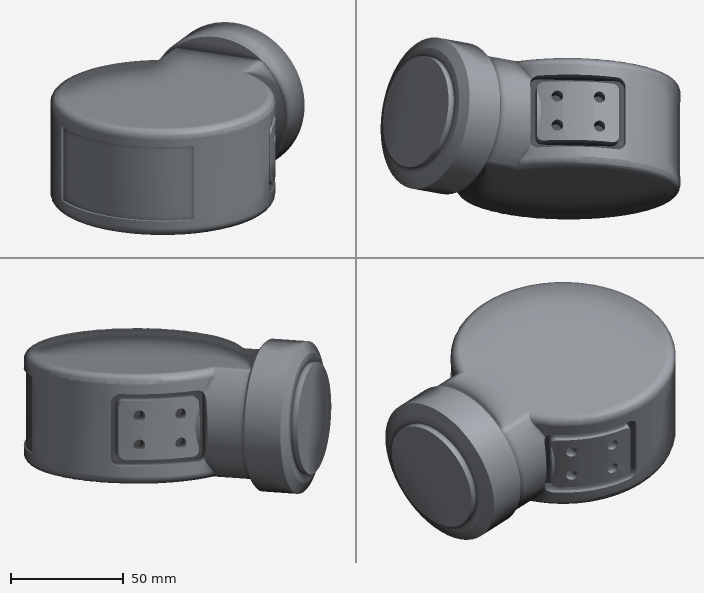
import cadquery as cq
import math

overall_length = 133.0

body_radius = 50.0
body_height = body_radius
edge_round = 4.0

neck_radius = 32.6

collar_radius = 34.0
collar_start = 60.0
collar_end = 80.0
collar_rear_chamfer = 1.2
collar_front_chamfer_length = 2.1
collar_front_chamfer_depth = 5.0
boss_radius = body_height / 2
boss_end = overall_length - body_radius

window_height = 34.8
window_depth = 1.0
window_half_angle = 40

pad_angle = 30
pad_length = 36.7
pad_height = 26.9
pad_corner_radius = 2.9
moat_width = 3.0
moat_corner_radius = 4.0
moat_depth = 10.0
hole_diameter = 5.0
hole_depth = 9.5
hole_spacing_along = 18.9
hole_spacing_up = 13.3


def make_body():
    drum = cq.Workplane("XY").circle(body_radius).extrude(body_height / 2, both=True)
    return drum.edges().fillet(edge_round)


def make_neck():
    cylinder = cq.Workplane("XZ").circle(neck_radius).extrude(-collar_start)
    slab = cq.Workplane("XY").box(2 * body_radius, 2 * collar_start, body_height)
    return cylinder.intersect(slab).faces("|Z").edges("|Y").fillet(edge_round)


def make_collar():
    """Collar and boss, revolved about the Y axis from a half section."""
    return (
        cq.Workplane("XY")
        .moveTo(0, collar_start)
        .lineTo(collar_radius - collar_rear_chamfer, collar_start)
        .lineTo(collar_radius, collar_start + collar_rear_chamfer)
        .lineTo(collar_radius, collar_end - collar_front_chamfer_length)
        .lineTo(collar_radius - collar_front_chamfer_depth, collar_end)
        .lineTo(boss_radius, collar_end)
        .lineTo(boss_radius, boss_end)
        .lineTo(0, boss_end)
        .close()
        .revolve(360, (0, 0), (0, 1))
    )


def make_window_cutter():
    """Ring sector with radial ends, centred on the -Y direction."""
    reach = 2 * body_radius
    half_angle = math.radians(window_half_angle)
    end_x = reach * math.sin(half_angle)
    end_y = -reach * math.cos(half_angle)
    wedge = (
        cq.Workplane("XY")
        .polyline([(0, 0), (-end_x, end_y), (end_x, end_y)])
        .close()
        .extrude(window_height / 2, both=True)
    )
    core = cq.Workplane("XY").circle(body_radius - window_depth).extrude(body_height, both=True)
    return wedge.cut(core)


def make_pad_cutter():
    """Moat and screw holes for the +X flank, turned toward the pad direction."""
    angle = math.radians(pad_angle)
    outward = cq.Vector(math.cos(angle), math.sin(angle), 0)
    along = cq.Vector(-math.sin(angle), math.cos(angle), 0)
    outward_edges = cq.selectors.ParallelDirSelector(outward)
    cut_length = 2 * moat_depth

    def plane_at_depth(depth):
        centre = outward * (body_radius - depth)
        return cq.Workplane(cq.Plane(origin=centre, xDir=along, normal=outward))

    def rounded_block(length, height, corner_radius):
        block = plane_at_depth(moat_depth).rect(length, height).extrude(cut_length)
        return block.edges(outward_edges).fillet(corner_radius)

    moat = rounded_block(pad_length + 2 * moat_width, pad_height + 2 * moat_width, moat_corner_radius)
    pad = rounded_block(pad_length, pad_height, pad_corner_radius)
    holes = (
        plane_at_depth(hole_depth)
        .rarray(hole_spacing_along, hole_spacing_up, 2, 2)
        .circle(hole_diameter / 2)
        .extrude(cut_length)
    )
    return moat.cut(pad).union(holes)


pad_cutter = make_pad_cutter()

result = (
    make_body()
    .union(make_neck())
    .union(make_collar())
    .cut(make_window_cutter())
    .cut(pad_cutter)
    .cut(pad_cutter.mirror("YZ"))
)